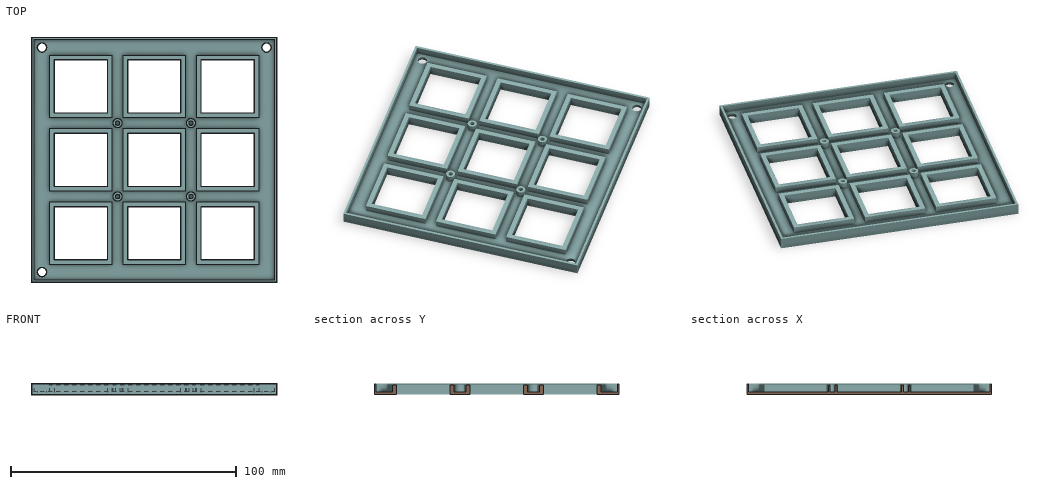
import cadquery as cq

side = 108.5
height = 5.0
rim_wall = 1.0
floor_thickness = 1.5

drop_below_rim = 0.5
frame_top = height - drop_below_rim

windows_per_side = 3
outer_window_spacing = 65.0
window_pitch = outer_window_spacing / (windows_per_side - 1)
window_side = 23.4
frame_wall = 2.1
frame_side = window_side + 2 * frame_wall

posts_per_side = windows_per_side - 1
post_diameter = 4.0
post_bore = 2.0

corner_hole_diameter = 4.0
corner_hole_inset = 4.6
corner_hole_offset = side / 2 - corner_hole_inset
corner_hole_centres = [
    (-corner_hole_offset, -corner_hole_offset),
    (-corner_hole_offset, corner_hole_offset),
    (corner_hole_offset, corner_hole_offset),
]


def plane_at(z):
    """Horizontal workplane at height z above the underside."""
    return cq.Workplane("XY").workplane(offset=z)


def grid_at(z, count):
    """Centred square grid of points at height z, spaced at the window pitch."""
    return plane_at(z).rarray(window_pitch, window_pitch, count, count)


def make_tray():
    cavity_side = side - 2 * rim_wall
    block = plane_at(0).rect(side, side).extrude(height)
    cavity = plane_at(floor_thickness).rect(cavity_side, cavity_side).extrude(height - floor_thickness)
    return block.cut(cavity)


def add_window_frames(body):
    frames = grid_at(0, windows_per_side).rect(frame_side, frame_side).extrude(frame_top)
    openings = grid_at(0, windows_per_side).rect(window_side, window_side).extrude(frame_top)
    return body.union(frames).cut(openings)


def add_screw_posts(body):
    posts = grid_at(0, posts_per_side).circle(post_diameter / 2).extrude(frame_top)
    bore_depth = frame_top - floor_thickness
    bores = grid_at(floor_thickness, posts_per_side).circle(post_bore / 2).extrude(bore_depth)
    return body.union(posts).cut(bores)


def cut_corner_holes(body):
    holes = plane_at(0).pushPoints(corner_hole_centres).circle(corner_hole_diameter / 2)
    return body.cut(holes.extrude(floor_thickness))


tray = make_tray()
framed_tray = add_window_frames(tray)
posted_tray = add_screw_posts(framed_tray)
result = cut_corner_holes(posted_tray)